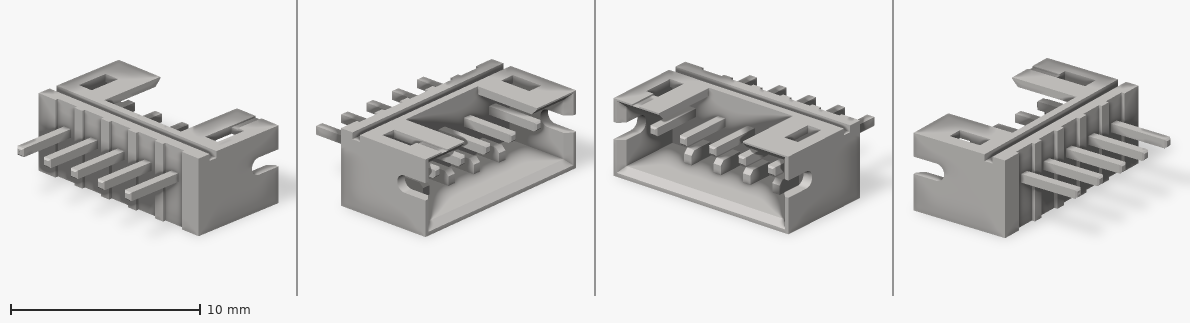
import cadquery as cq

body_length = 11.9
body_depth = 6.0
body_height = 4.5

pin_count = 5
pin_pitch = 2.0
pin_width = 0.5
pin_height = 2.8
pin_tail = 3.4
pin_mouth_gap = 0.9
tip_taper = 0.1

pin_mark_size = 0.1
pin_mark_depth = 0.05

cavity_depth = 4.2
side_wall = 0.6
top_wall = 0.46
bottom_wall = 0.6
mouth_chamfer = 0.37

front_window_width = 5.7
slot_height = 1.0
slot_depth = 2.0
slot_bottom = 2.12

latch_window_width = 0.94
latch_window_depth = 2.0
latch_window_mouth_gap = 1.77
latch_window_offset = 4.69

mark_groove_width = 0.45
mark_groove_depth = 0.1

top_groove_width = 0.52
top_groove_depth = 0.39
top_groove_back_gap = 0.82

relief_width = 1.4
relief_depth = 0.2

rib_width = 0.5
rib_length = 1.61
rib_height = 0.8
rib_chamfer = 0.25

cavity_back = body_depth - cavity_depth
cavity_length = body_length - 2 * side_wall
cavity_height = body_height - top_wall - bottom_wall
pin_places = [(i - (pin_count - 1) / 2) * pin_pitch for i in range(pin_count)]
rib_places = [x + pin_pitch / 2 for x in pin_places[:-1]]


def block(x_mid, x_size, y_low, y_size, z_low, z_size):
    """Box centred on x_mid, rising from y_low and z_low."""
    box = cq.Workplane("XY").box(x_size, y_size, z_size, centered=(True, False, False))
    return box.translate((x_mid, y_low, z_low))


def mating_cavity():
    """Cavity open at the mouth, its rim widened by a 45 degree lead-in."""
    cavity = block(0, cavity_length, cavity_back, cavity_depth, bottom_wall, cavity_height)
    cavity_mid = bottom_wall + cavity_height / 2
    lead_in = (
        cq.Workplane("XZ", origin=(0, body_depth, cavity_mid))
        .rect(cavity_length + 2 * mouth_chamfer, cavity_height + 2 * mouth_chamfer)
        .workplane(offset=mouth_chamfer)
        .rect(cavity_length, cavity_height)
        .loft(ruled=True)
    )
    return cavity.union(lead_in)


def front_window():
    """Opening in the top wall over the middle of the cavity."""
    return block(0, front_window_width, cavity_back, cavity_depth, body_height - top_wall, top_wall)


def side_slot():
    """Round-ended slot running in from the mouth through both end walls."""
    radius = slot_height / 2
    slot_end = body_depth - slot_depth
    return (
        cq.Workplane("YZ", origin=(-body_length / 2, 0, 0))
        .moveTo(body_depth, slot_bottom)
        .lineTo(slot_end + radius, slot_bottom)
        .threePointArc(
            (slot_end, slot_bottom + radius),
            (slot_end + radius, slot_bottom + slot_height),
        )
        .lineTo(body_depth, slot_bottom + slot_height)
        .close()
        .extrude(body_length)
    )


def latch_window(x_mid):
    """Rectangular opening through the top wall beside the front window."""
    y_low = body_depth - latch_window_mouth_gap - latch_window_depth
    return block(
        x_mid, latch_window_width, y_low, latch_window_depth, body_height - top_wall, top_wall
    )


def mark_groove():
    """Shallow groove from the mouth to the +X latch window, flush with its inner edge."""
    x_mid = latch_window_offset - latch_window_width / 2 + mark_groove_width / 2
    return block(
        x_mid,
        mark_groove_width,
        body_depth - latch_window_mouth_gap,
        latch_window_mouth_gap,
        body_height - mark_groove_depth,
        mark_groove_depth,
    )


def top_groove():
    """Groove along the whole length of the top, near the back."""
    z_low = body_height - top_groove_depth
    return block(0, body_length, top_groove_back_gap, top_groove_width, z_low, top_groove_depth)


def back_relief(x_mid):
    """Full-height recess in the back face around one pin."""
    return block(x_mid, relief_width, 0, relief_depth, 0, body_height)


def rib(x_mid):
    """Rib on the cavity floor between two pins, its front top edge chamfered."""
    bar = block(x_mid, rib_width, cavity_back, rib_length, bottom_wall, rib_height)
    return bar.faces(">Y").edges(">Z").chamfer(rib_chamfer)


def pin(x_mid):
    """Square pin with both tips tapered."""
    length = pin_tail + body_depth - pin_mouth_gap
    bar = block(x_mid, pin_width, -pin_tail, length, pin_height - pin_width / 2, pin_width)
    return bar.faces("<Y or >Y").chamfer(tip_taper)


def pin_mark():
    """Small square dimple in the tail end of the first pin."""
    z_low = pin_height - pin_mark_size / 2
    return block(pin_places[0], pin_mark_size, -pin_tail, pin_mark_depth, z_low, pin_mark_size)


housing = block(0, body_length, 0, body_depth, 0, body_height)
for cut in (mating_cavity(), front_window(), side_slot(), mark_groove(), top_groove()):
    housing = housing.cut(cut)
for side in (-1, 1):
    housing = housing.cut(latch_window(side * latch_window_offset))
for x in pin_places:
    housing = housing.cut(back_relief(x))

for x in rib_places:
    housing = housing.union(rib(x))
for x in pin_places:
    housing = housing.union(pin(x))

result = housing.cut(pin_mark())